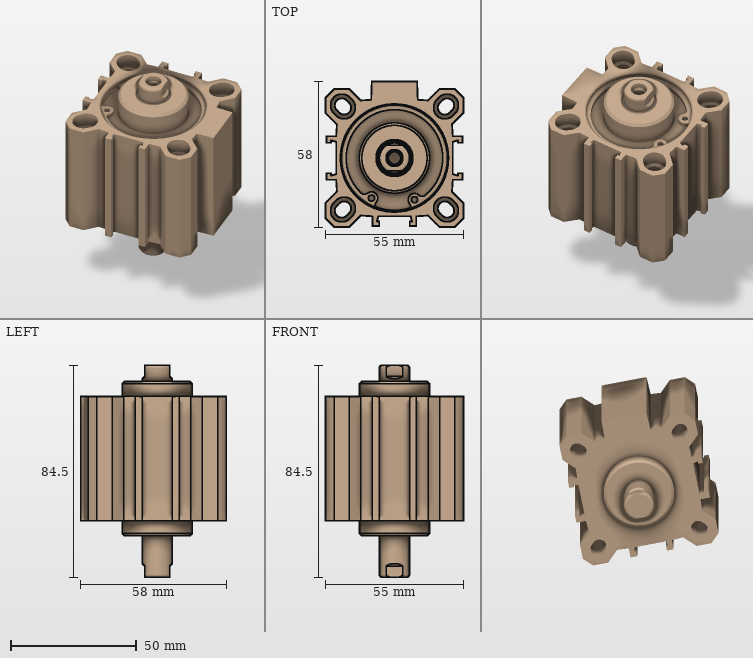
import cadquery as cq
import math


housing_length = 49.5
collar_height = 6.0
rod_above_housing = 12.5
rod_below_housing = 22.5

half_width = 27.5
lug_corner = 24.0
lug_inner = 17.95
wall_face = 23.25
wall_root = 22.95
port_block_y = 30.5
port_block_tip_half = 9.1
port_block_root_half = 9.3

hook_tip = 27.1
hook_outer = 8.75
hook_lip = 6.0
hook_lip_floor = 25.25
hook_undercut = 6.95
hook_root = 6.4

bolt_offset = 20.5
bolt_hole_diameter = 5.5
bolt_head_diameter = 9.0
bolt_head_depth = 6.0
bolt_stretch = 1.3

recess_diameter = 42.2
recess_mouth_chamfer = 0.45
ring_diameter = 44.7
ring_inner_diameter = 38.5
ring_thickness = 1.75
ring_depth = 2.15
ring_turn = -2.05
ear_circle_radius = 18.4
ear_angle = 27.75
ear_radius = 2.5
ear_hole_diameter = 2.5
ear_root_fillet = 2.0

head_thickness = 8.0
head_edge_chamfer = 0.25
collar_diameter = 28.0
collar_chamfer = 1.0
collar_root_fillet = 0.7

seal_diameter = 14.0
seal_mouth_chamfer = 0.35
seal_seat_depth = 3.0
seal_shoulder_depth = 1.0
lip_base_diameter = 13.7
lip_top_diameter = 12.54
lip_height = 0.4

rod_diameter = 12.0
rod_end_fillet = 1.25
flat_half_width = 5.0
flat_length = 4.5
socket_diameter = 6.25
socket_chamfer = 0.25
socket_depth = 2.5
thread_diameter = 4.92
thread_depth = 12.0
drill_point_angle = 168.0

head_top = housing_length - ring_depth - ring_thickness
head_bottom = head_top - head_thickness
collar_top = housing_length + collar_height
rod_top = housing_length + rod_above_housing
rod_bottom = -rod_below_housing
seal_seat = collar_top - seal_seat_depth


def cylinder(diameter, bottom, top):
    return cq.Workplane("XY").workplane(offset=bottom).circle(diameter / 2).extrude(top - bottom)



def quarter_profile():
    """Quarter of the housing in the +X +Y quadrant: two wall halves and a bevelled corner lug."""
    lug_root = lug_inner - (half_width - wall_root)
    return [
        (0, 0),
        (wall_face, 0),
        (wall_face, hook_outer),
        (wall_root, lug_root),
        (half_width, lug_inner),
        (half_width, lug_corner),
        (lug_corner, half_width),
        (lug_inner, half_width),
        (lug_root, wall_root),
        (hook_outer, wall_face),
        (0, wall_face),
    ]


def hook_profile():
    """L-shaped hook on the +X side, with its lip pointing to the X axis."""
    return [
        (wall_root, hook_outer),
        (hook_tip, hook_outer),
        (hook_tip, hook_lip),
        (hook_lip_floor, hook_lip),
        (hook_lip_floor, hook_undercut),
        (wall_face, hook_root),
        (wall_root, hook_root),
    ]


def port_block_profile():
    return [
        (-port_block_root_half, wall_root),
        (port_block_root_half, wall_root),
        (port_block_tip_half, port_block_y),
        (-port_block_tip_half, port_block_y),
    ]


def prism(points):
    return cq.Workplane("XY").polyline(points).close().extrude(housing_length)


def bolt_slots(diameter, bottom, top):
    """Four round-ended holes, each stretched along its diagonal."""
    slot = (
        cq.Workplane("XY")
        .workplane(offset=bottom)
        .center(bolt_offset, bolt_offset)
        .slot2D(diameter + bolt_stretch, diameter, 45)
        .extrude(top - bottom)
    )
    slots = slot
    for turn in (90, 180, 270):
        slots = slots.union(slot.rotate((0, 0, 0), (0, 0, 1), turn))
    return slots


def make_housing():
    quarter = prism(quarter_profile())
    housing = quarter
    for turn in (90, 180, 270):
        housing = housing.union(quarter.rotate((0, 0, 0), (0, 0, 1), turn))

    hook = prism(hook_profile())
    hook_pair = hook.union(hook.mirror("XZ"))
    for turn in (0, 180, 270):
        housing = housing.union(hook_pair.rotate((0, 0, 0), (0, 0, 1), turn))
    housing = housing.union(prism(port_block_profile()))

    lower_collar = cylinder(collar_diameter, -collar_height, 0).faces("<Z").chamfer(collar_chamfer)
    housing = housing.union(lower_collar)

    housing = housing.cut(bolt_slots(bolt_hole_diameter, 0, housing_length))
    housing = housing.cut(bolt_slots(bolt_head_diameter, housing_length - bolt_head_depth, housing_length))

    mouth = (
        cq.Workplane("XY")
        .workplane(offset=housing_length - recess_mouth_chamfer)
        .circle(recess_diameter / 2)
        .workplane(offset=recess_mouth_chamfer)
        .circle(recess_diameter / 2 + recess_mouth_chamfer)
        .loft()
    )
    housing = housing.cut(cylinder(recess_diameter, head_bottom, housing_length))
    housing = housing.cut(mouth)
    housing = housing.cut(cylinder(ring_diameter, head_top, head_top + ring_thickness))
    return housing.cut(cylinder(rod_diameter, -collar_height, head_bottom))



def make_head():
    flange = cylinder(recess_diameter, head_bottom, head_top).faces(">Z").chamfer(head_edge_chamfer)
    collar = cylinder(collar_diameter, head_top, collar_top).faces(">Z").chamfer(collar_chamfer)
    head = flange.union(collar)

    just_outside = collar_diameter / 2 + collar_root_fillet
    collar_root = cq.selectors.BoxSelector(
        (-just_outside, -just_outside, head_top - collar_root_fillet),
        (just_outside, just_outside, head_top + collar_root_fillet),
        boundingbox=True,
    )
    head = head.edges(collar_root).fillet(collar_root_fillet)

    head = head.cut(cylinder(rod_diameter, head_bottom, collar_top))
    head = head.cut(cylinder(seal_diameter, seal_seat, collar_top))
    seal_mouth = cq.selectors.RadiusNthSelector(0)
    return head.faces(">Z").edges(seal_mouth).chamfer(seal_mouth_chamfer)



def make_seal():
    shoulder = collar_top - seal_shoulder_depth
    rod_radius = rod_diameter / 2
    section = [
        (rod_radius, seal_seat),
        (seal_diameter / 2, seal_seat),
        (seal_diameter / 2, shoulder),
        (lip_base_diameter / 2, shoulder),
        (lip_top_diameter / 2, shoulder + lip_height),
        (rod_radius, shoulder + lip_height),
    ]
    return cq.Workplane("XZ").polyline(section).close().revolve(360, (0, 0), (0, 1))



def make_retaining_ring():
    inner_radius = ring_inner_diameter / 2
    squares = ear_circle_radius**2 + inner_radius**2 - ear_radius**2
    crossing_angle = math.acos(squares / (2 * ear_circle_radius * inner_radius))
    gap_angle = math.radians(ear_angle) - crossing_angle
    gap_reach = ring_diameter
    gap = (
        cq.Workplane("XY")
        .moveTo(0, 0)
        .lineTo(-gap_reach * math.sin(gap_angle), -gap_reach * math.cos(gap_angle))
        .lineTo(gap_reach * math.sin(gap_angle), -gap_reach * math.cos(gap_angle))
        .close()
        .extrude(ring_thickness)
    )
    ear_x = ear_circle_radius * math.sin(math.radians(ear_angle))
    ear_y = -ear_circle_radius * math.cos(math.radians(ear_angle))
    ear_centres = [(-ear_x, ear_y), (ear_x, ear_y)]

    ring = cylinder(ring_diameter, 0, ring_thickness)
    ring = ring.cut(cylinder(ring_inner_diameter, 0, ring_thickness)).cut(gap)
    ears = cq.Workplane("XY").pushPoints(ear_centres).circle(ear_radius).extrude(ring_thickness)
    ring = ring.union(ears)
    ear_corners = cq.selectors.BoxSelector(
        (-inner_radius, ear_y - ear_radius, -ring_thickness),
        (inner_radius, ear_y + ear_radius, 2 * ring_thickness),
    )
    between_ears = cq.selectors.BoxSelector(
        (-ear_x, -ring_diameter, -ring_thickness),
        (ear_x, ring_diameter, 2 * ring_thickness),
    )
    ring = ring.edges("|Z").edges(ear_corners - between_ears).fillet(ear_root_fillet)
    holes = cq.Workplane("XY").pushPoints(ear_centres).circle(ear_hole_diameter / 2).extrude(ring_thickness)
    return ring.cut(holes).rotate((0, 0, 0), (0, 0, 1), ring_turn).translate((0, 0, head_top))



def wrench_flat_cutter():
    """Cut on the +Y side of the top end; its lower edge runs out at 45 degrees."""
    flat_bottom = rod_top - flat_length
    rod_radius = rod_diameter / 2
    section = [
        (flat_half_width, rod_top),
        (flat_half_width, flat_bottom),
        (rod_radius, flat_bottom - (rod_radius - flat_half_width)),
        (rod_radius, rod_top),
    ]
    return cq.Workplane("YZ").polyline(section).close().extrude(rod_radius, both=True)


def rod_hole():
    step = (socket_diameter - thread_diameter) / 2
    thread_radius = thread_diameter / 2
    socket_radius = socket_diameter / 2
    drill_tip = thread_radius / math.tan(math.radians(drill_point_angle / 2))
    section = [
        (0, rod_top),
        (socket_radius + socket_chamfer, rod_top),
        (socket_radius, rod_top - socket_chamfer),
        (socket_radius, rod_top - socket_depth),
        (thread_radius, rod_top - socket_depth - step),
        (thread_radius, rod_top - thread_depth),
        (0, rod_top - thread_depth - drill_tip),
    ]
    return cq.Workplane("XZ").polyline(section).close().revolve(360, (0, 0), (0, 1))


def make_rod():
    rod = cylinder(rod_diameter, rod_bottom, rod_top).faces("<Z or >Z").edges().fillet(rod_end_fillet)
    flat = wrench_flat_cutter()
    top_flats = flat.union(flat.mirror("XZ"))
    rod_middle = (rod_top + rod_bottom) / 2
    bottom_flats = top_flats.mirror("XY", (0, 0, rod_middle))
    return rod.cut(top_flats).cut(bottom_flats).cut(rod_hole())


housing = make_housing()
head = make_head()
seal = make_seal()
retaining_ring = make_retaining_ring()
rod = make_rod()

result = cq.Compound.makeCompound(
    [housing.val(), head.val(), seal.val(), retaining_ring.val(), rod.val()]
)